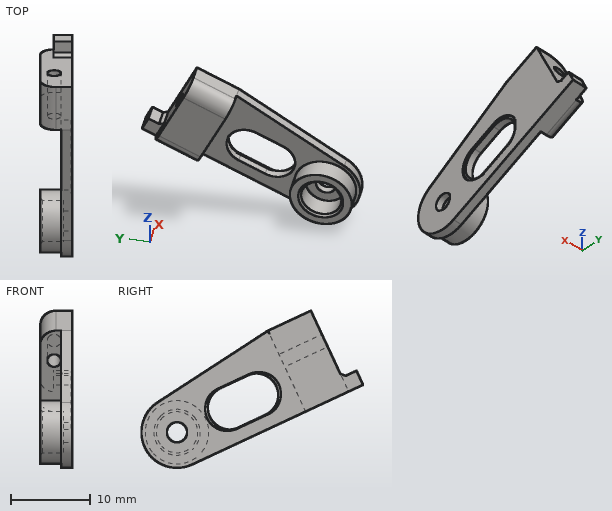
import cadquery as cq
import math

tilt = 25.0

full_depth = 4.05
plate_thickness = 1.4
hook_depth = 2.35

pivot_radius = 4.5
boss_radius = 4.0
bore_radius = 2.6
bore_floor_thickness = 1.12
bore_chamfer = 0.3
pivot_hole_radius = 1.25

block_start = 15.82
block_length = 6.0
block_end = block_start + block_length
block_top = 6.78
block_bottom = -pivot_radius
top_round = 2.02
bottom_round = 1.7

hook_length = 2.02
hook_height = 2.0
hook_chamfer = 0.5

slot_radius = 2.72
slot_near_center = 7.3
slot_center_spacing = 3.78

recess_depth = 0.2
recess_side_margin = 0.08
recess_end_margin = 0.4

cross_hole_radius = 0.87
cross_hole_depth = 1.75
cross_hole_height = 2.6

arm_plane = cq.Plane(origin=(0, 0, 0), xDir=(0, 1, 0), normal=(1, 0, 0))


def sketch():
    """Return a workplane on the back face; negative extrusion goes into the part."""
    return cq.Workplane(arm_plane)


def make_plate():
    corner_distance = math.hypot(block_start, block_top)
    tangent_angle = math.atan2(block_top, block_start) + math.acos(pivot_radius / corner_distance)
    tangent_point = (pivot_radius * math.cos(tangent_angle), pivot_radius * math.sin(tangent_angle))
    return (
        sketch()
        .moveTo(0, -pivot_radius)
        .lineTo(block_start, block_bottom)
        .lineTo(block_start, block_top)
        .lineTo(*tangent_point)
        .threePointArc((-pivot_radius, 0), (0, -pivot_radius))
        .close()
        .extrude(-plate_thickness)
    )


def make_block():
    block = (
        sketch()
        .moveTo(block_start, block_bottom)
        .lineTo(block_end, block_bottom)
        .lineTo(block_end, block_top)
        .lineTo(block_start, block_top)
        .close()
        .extrude(-full_depth)
    )
    block = block.faces("<X").edges("|Y").edges(">Z").fillet(top_round)
    return block.faces("<X").edges("|Y").edges("<Z").fillet(bottom_round)


def make_hook():
    hook_top = block_bottom + hook_height
    return (
        sketch()
        .moveTo(block_end, block_bottom)
        .lineTo(block_end + hook_length, block_bottom)
        .lineTo(block_end + hook_length, hook_top)
        .lineTo(block_end + hook_chamfer, hook_top)
        .lineTo(block_end, hook_top + hook_chamfer)
        .close()
        .extrude(-hook_depth)
    )


def make_bore():
    """Blind bore reaching into the plate, with a chamfered mouth."""
    bore_floor = -bore_floor_thickness
    profile = [
        (bore_floor, 0),
        (bore_floor, bore_radius),
        (bore_chamfer - full_depth, bore_radius),
        (-full_depth, bore_radius + bore_chamfer),
        (-full_depth, 0),
    ]
    return cq.Workplane("XY").polyline(profile).close().revolve(360, (0, 0, 0), (1, 0, 0))


def make_slot():
    """Through slot together with the shallow recess around it in the back face."""
    slot_center = slot_near_center + slot_center_spacing / 2
    slot_width = 2 * slot_radius
    slot_length = slot_center_spacing + slot_width
    centered = sketch().center(slot_center, 0)
    slot = centered.slot2D(slot_length, slot_width).extrude(-plate_thickness)
    recess_length = slot_length + 2 * recess_end_margin
    recess_width = slot_width + 2 * recess_side_margin
    return slot.union(centered.slot2D(recess_length, recess_width).extrude(-recess_depth))


def make_cross_hole():
    start = cq.Workplane("XZ", origin=(-full_depth + cross_hole_depth, block_start, cross_hole_height))
    return start.circle(cross_hole_radius).extrude(-block_length)


boss = sketch().circle(boss_radius).extrude(-full_depth)
pivot_hole = sketch().circle(pivot_hole_radius).extrude(-full_depth)

arm = make_plate().union(make_block()).union(make_hook()).union(boss)
arm = arm.cut(make_bore()).cut(pivot_hole).cut(make_slot()).cut(make_cross_hole())

result = arm.rotate((0, 0, 0), (1, 0, 0), tilt)